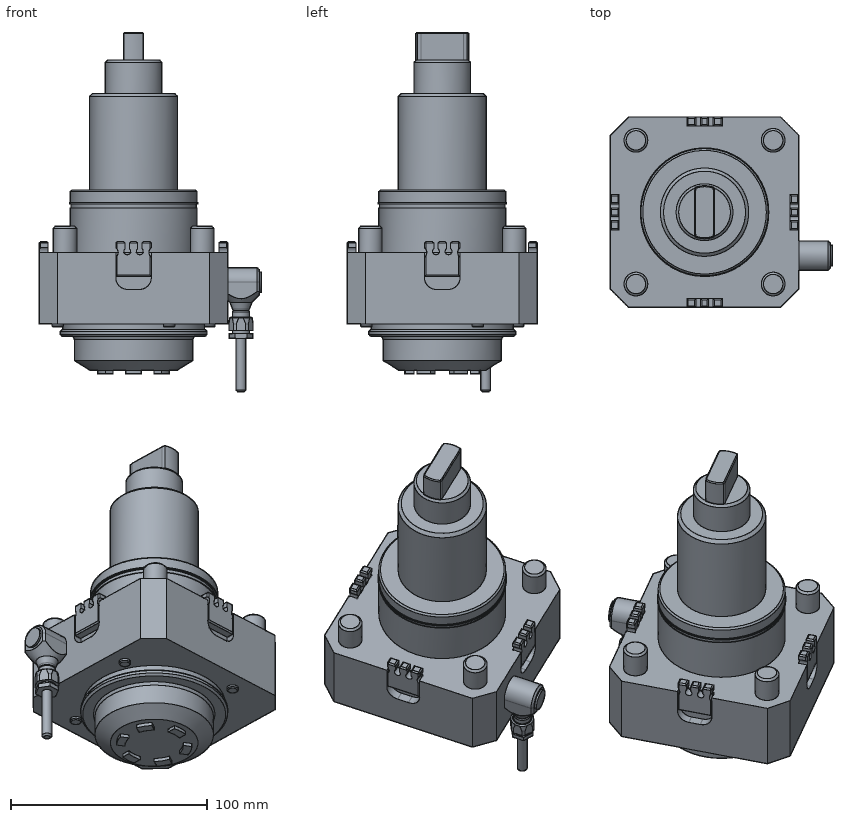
import cadquery as cq
import math

OVERLAP = 1.0

block_x = 96.0
block_y = 97.0
block_height = 36.4
block_chamfer = 9.3

tube_radius, tube_top = 32.4, 59.0
relief_radius, relief_top = 32.0, 61.0
ring_radius, ring_top = 32.7, 61.8
collar_radius, collar_top, collar_chamfer = 32.4, 68.2, 1.0
sleeve_radius, sleeve_top, sleeve_chamfer = 22.5, 117.5, 1.6
journal_radius, journal_top, journal_chamfer = 14.5, 134.5, 1.3

key_width = 10.2
key_end_radius = 13.5
key_top = 148.3
key_chamfer = 0.5
key_flat_half_length, key_end_narrowing = 10.8, 0.5

hub_neck_radius, hub_neck_bottom = 36.2, -2.7
hub_rim_radius, hub_rim_bottom, hub_rim_chamfer = 37.5, -6.4, 1.1
hub_throat_radius = 31.0
hub_radius, hub_bottom = 30.2, -23.6
hub_throat_bottom = -8.0
hub_cone_top, hub_cone_radius = -18.7, 22.3

foot_count = 6
foot_outer_radius, foot_inner_radius = 19.2, 14.8
foot_width = 8.0
foot_bottom = -25.5

screw_radius, screw_top, screw_chamfer = 6.0, 49.7, 1.1
screw_x, screw_y = 35.0, 36.5
stud_radius, stud_length, stud_chamfer = 3.0, 1.6, 0.5
stud_x, stud_y = 18.1, -38.6

clip_width, clip_depth = 18.1, 4.5
clip_bottom, clip_top = 24.1, 41.9
clip_chamfer = 0.7
slot_pitch, slot_width = 6.4, 2.2
slot_eye_radius, slot_eye_height = 1.74, 37.0
side_bite_radius, side_bite_depth = 3.1, 1.19
pocket_bottom, pocket_corner_radius = 17.5, 6.0

elbow_x, elbow_y, elbow_height = 54.7, -22.1, 21.2
elbow_radius = 7.5
elbow_end, elbow_chamfer = 64.0, 1.1
cap_radius, cap_end = 5.3, block_x / 2 + 17.0
elbow_cone_bottom, elbow_cone_radius = 11.0, 5.7
elbow_cone_reach = 11.0

neck_radius, neck_groove_depth = 4.4, 0.4
neck_groove_top, neck_groove_bottom = 7.7, 6.0
nut_radius, nut_flat_distance = 6.2, 5.76
nut_top, nut_top_radius = 3.5, 5.0
nut_shoulder, nut_shoulder_radius = 3.1, 5.9
nut_taper_bottom, nut_bottom = 0.0, -3.5
lock_top, lock_bottom, lock_corner_radius = -5.0, -7.3, 6.0
hose_radius, hose_bottom, hose_chamfer = 2.5, -34.5, 1.0


def cylinder(radius, bottom, top, x=0, y=0):
    return cq.Workplane("XY", origin=(x, y, bottom)).circle(radius).extrude(top - bottom)


def turned(profile, x=0, y=0):
    """Solid of revolution about a vertical axis; profile lists (radius, height) from the axis."""
    outline = cq.Workplane("XZ", origin=(x, y, 0)).polyline(profile).close()
    return outline.revolve(360, (0, 0, 0), (0, 1, 0))


def make_block():
    block = cq.Workplane("XY").rect(block_x, block_y).extrude(block_height)
    return block.edges("|Z").chamfer(block_chamfer)


def make_shaft():
    base = block_height - OVERLAP
    shaft = cylinder(tube_radius, base, tube_top)
    shaft = shaft.union(cylinder(relief_radius, base, relief_top))
    shaft = shaft.union(cylinder(ring_radius, relief_top, ring_top))
    steps = (
        (collar_radius, collar_top, collar_chamfer),
        (sleeve_radius, sleeve_top, sleeve_chamfer),
        (journal_radius, journal_top, journal_chamfer),
    )
    bottom = ring_top
    for radius, top, chamfer in steps:
        shaft = shaft.union(cylinder(radius, bottom, top).faces(">Z").chamfer(chamfer))
        bottom = top
    return shaft


def make_key():
    """Bar with rounded ends whose flanks narrow slightly towards both ends."""
    side = key_width / 2
    tip = side - key_end_narrowing
    bar = cq.Workplane("XY").polyline([
        (side, -key_flat_half_length),
        (side, key_flat_half_length),
        (tip, key_end_radius),
        (-tip, key_end_radius),
        (-side, key_flat_half_length),
        (-side, -key_flat_half_length),
        (-tip, -key_end_radius),
        (tip, -key_end_radius),
    ]).close().extrude(key_top)
    key = bar.intersect(cylinder(key_end_radius, journal_top, key_top))
    return key.faces(">Z").chamfer(key_chamfer)


def make_hub():
    rim_edge = hub_rim_radius - hub_rim_chamfer
    return turned([
        (0, OVERLAP),
        (hub_neck_radius, OVERLAP),
        (hub_neck_radius, hub_neck_bottom),
        (rim_edge, hub_neck_bottom),
        (hub_rim_radius, hub_neck_bottom - hub_rim_chamfer),
        (hub_rim_radius, hub_rim_bottom + hub_rim_chamfer),
        (rim_edge, hub_rim_bottom),
        (hub_throat_radius, hub_rim_bottom),
        (hub_radius, hub_throat_bottom),
        (hub_radius, hub_cone_top),
        (hub_cone_radius, hub_bottom),
        (0, hub_bottom),
    ])


def make_feet():
    """Ring sectors of equal width, evenly spaced; the first one sits on the +Y side."""
    height = hub_bottom - foot_bottom
    ring = cq.Workplane("XY", origin=(0, 0, foot_bottom))
    ring = ring.circle(foot_outer_radius).circle(foot_inner_radius).extrude(height + OVERLAP)
    bar = cq.Workplane("XY", origin=(0, foot_outer_radius / 2, foot_bottom))
    bar = bar.rect(foot_width, foot_outer_radius).extrude(height + OVERLAP)
    foot = ring.intersect(bar)
    feet = foot
    for i in range(1, foot_count):
        feet = feet.union(foot.rotate((0, 0, 0), (0, 0, 1), i * 360 / foot_count))
    return feet


def make_screws():
    """Clamping screws standing on the block's four corners."""
    screws = cq.Workplane("XY", origin=(0, 0, block_height - OVERLAP))
    screws = screws.rect(2 * screw_x, 2 * screw_y, forConstruction=True).vertices()
    screws = screws.circle(screw_radius).extrude(screw_top - block_height + OVERLAP)
    return screws.faces(">Z").chamfer(screw_chamfer)


def make_studs():
    """Small studs under the block, repeated every quarter turn."""
    stud = cylinder(stud_radius, -stud_length, OVERLAP, stud_x, stud_y).faces("<Z").chamfer(stud_chamfer)
    studs = stud
    for angle in (90, 180, 270):
        studs = studs.union(stud.rotate((0, 0, 0), (0, 0, 1), angle))
    return studs


def make_clip():
    """Clip with its outer face on the XZ plane, reaching into +Y."""
    height = clip_top - clip_bottom
    clip = cq.Workplane("XY", origin=(0, clip_depth / 2, clip_bottom))
    clip = clip.rect(clip_width, clip_depth).extrude(height)
    clip = clip.faces("<Y or >Z").edges().chamfer(clip_chamfer)

    mouth = slot_width / 2 + clip_chamfer
    bite_offset = clip_width / 2 + side_bite_radius - side_bite_depth
    for side in (-1, 1):
        slot_x = side * slot_pitch / 2
        slot = cq.Workplane("XZ").center(slot_x, 0).polyline([
            (-slot_width / 2, slot_eye_height),
            (-slot_width / 2, clip_top - clip_chamfer),
            (-mouth, clip_top),
            (mouth, clip_top),
            (slot_width / 2, clip_top - clip_chamfer),
            (slot_width / 2, slot_eye_height),
        ]).close().extrude(-clip_depth)
        eye = cq.Workplane("XZ").center(slot_x, slot_eye_height).circle(slot_eye_radius).extrude(-clip_depth)
        bite = cq.Workplane("XZ").center(side * bite_offset, block_height)
        bite = bite.circle(side_bite_radius).extrude(-clip_depth)
        clip = clip.cut(slot).cut(eye).cut(bite)
    return clip


def make_clip_pocket():
    """Pocket for one clip, open at the top of the block."""
    pocket = cq.Workplane("XY", origin=(0, clip_depth / 2, pocket_bottom))
    pocket = pocket.rect(clip_width, clip_depth).extrude(block_height - pocket_bottom)
    return pocket.faces("<Z").edges("|Y").fillet(pocket_corner_radius)


def on_each_side(feature):
    """Copies of a -Y side feature placed on all four sides of the block."""
    copies = []
    for angle, distance in ((0, block_y / 2), (90, block_x / 2), (180, block_y / 2), (270, block_x / 2)):
        copies.append(feature.translate((0, -distance, 0)).rotate((0, 0, 0), (0, 0, 1), angle))
    return copies


def make_elbow():
    """Round-topped housing whose lower part narrows as a cone about the hose axis."""
    inner_end = block_x / 2 - OVERLAP
    profile = cq.Workplane("YZ", origin=(inner_end, elbow_y, 0))
    profile = profile.moveTo(-elbow_radius, 0).lineTo(-elbow_radius, elbow_height)
    profile = profile.threePointArc((0, elbow_height + elbow_radius), (elbow_radius, elbow_height))
    housing = profile.lineTo(elbow_radius, 0).close().extrude(elbow_end - inner_end)
    housing = housing.faces(">X").chamfer(elbow_chamfer)

    cone_outer = elbow_cone_radius + elbow_cone_reach
    envelope = turned([
        (0, elbow_cone_bottom),
        (elbow_cone_radius, elbow_cone_bottom),
        (cone_outer, elbow_cone_bottom + elbow_cone_reach),
        (cone_outer, elbow_height + elbow_radius),
        (0, elbow_height + elbow_radius),
    ], elbow_x, elbow_y)
    cap = cq.Workplane("YZ", origin=(elbow_x, elbow_y, elbow_height))
    cap = cap.circle(cap_radius).extrude(cap_end - elbow_x)
    return housing.intersect(envelope).union(cap)


def make_fitting():
    neck = turned([
        (0, elbow_cone_bottom + OVERLAP),
        (elbow_cone_radius, elbow_cone_bottom + OVERLAP),
        (elbow_cone_radius, elbow_cone_bottom),
        (neck_radius, neck_groove_top),
        (neck_radius - neck_groove_depth, (neck_groove_top + neck_groove_bottom) / 2),
        (neck_radius, neck_groove_bottom),
        (neck_radius, lock_bottom),
        (0, lock_bottom),
    ], elbow_x, elbow_y)

    nut = turned([
        (0, nut_top),
        (nut_top_radius, nut_top),
        (nut_shoulder_radius, nut_shoulder),
        (nut_radius, nut_taper_bottom),
        (nut_radius, nut_bottom),
        (0, nut_bottom),
    ], elbow_x, elbow_y)
    nut_corner_diameter = 2 * nut_flat_distance / math.cos(math.pi / 6)
    hexagon = cq.Workplane("XY", origin=(elbow_x, elbow_y, nut_bottom))
    hexagon = hexagon.polygon(6, nut_corner_diameter).extrude(nut_top - nut_bottom)

    lock = cq.Workplane("XY", origin=(elbow_x, elbow_y, lock_bottom))
    lock = lock.polygon(6, 2 * lock_corner_radius).extrude(lock_top - lock_bottom)
    hose = cylinder(hose_radius, hose_bottom, lock_top, elbow_x, elbow_y).faces("<Z").chamfer(hose_chamfer)
    return neck.union(nut.intersect(hexagon)).union(lock).union(hose)


result = make_block()
for pocket in on_each_side(make_clip_pocket()):
    result = result.cut(pocket)
for clip in on_each_side(make_clip()):
    result = result.union(clip)
for feature in (
    make_shaft(),
    make_key(),
    make_hub(),
    make_feet(),
    make_screws(),
    make_studs(),
    make_elbow(),
    make_fitting(),
):
    result = result.union(feature)